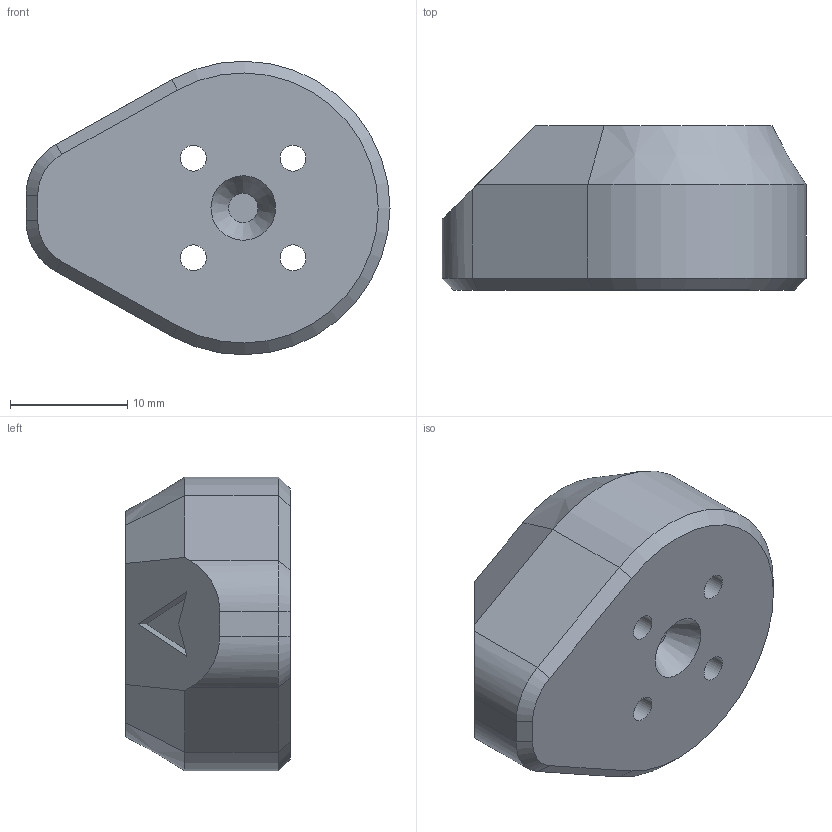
import cadquery as cq
import math

head_radius = 12.5
tail_reach = 18.5
tail_width = 8.0
tail_corner_radius = 5.0
thickness = 14.0
front_chamfer = 1.0
straight_depth = 9.0
taper_angle = 30.0

tail_edge_y = 6.0
overrun = 5.0

bolt_circle_radius = 6.0
bolt_count = 4
bolt_start_angle = 45.0
bolt_hole_diameter = 2.2
cone_mouth_diameter = 5.5
cone_floor_diameter = 2.5
cone_half_angle = 30.0
cone_depth = (cone_mouth_diameter - cone_floor_diameter) / 2 / math.tan(math.radians(cone_half_angle))

arrow_tip = 9.8
arrow_notch = 4.95
arrow_tails = 3.95
arrow_half_width = 2.75
arrow_depth = 1.0


def from_front(y):
    """Workplane parallel to the front face at depth y, facing +Y; local x is -X, local y is +Z."""
    return cq.Workplane(cq.Plane(origin=(0, y, 0), xDir=(-1, 0, 0), normal=(0, 1, 0)))


def teardrop(y, depth, taper=0.0):
    """Round head with two tangent sides running to a flat, corner-rounded tail."""
    half_width = tail_width / 2
    corner_distance = math.hypot(tail_reach, half_width)
    tangent_angle = math.atan2(half_width, tail_reach) + math.acos(head_radius / corner_distance)
    tangent_x = head_radius * math.cos(tangent_angle)
    tangent_z = head_radius * math.sin(tangent_angle)

    setback = tail_corner_radius * math.tan(tangent_angle / 2)
    arc_centre_x = tail_reach - tail_corner_radius
    arc_centre_z = half_width - setback
    side_x = arc_centre_x + tail_corner_radius * math.cos(tangent_angle)
    side_z = arc_centre_z + tail_corner_radius * math.sin(tangent_angle)
    middle_x = arc_centre_x + tail_corner_radius * math.cos(tangent_angle / 2)
    middle_z = arc_centre_z + tail_corner_radius * math.sin(tangent_angle / 2)

    return (
        from_front(y)
        .moveTo(tail_reach, -arc_centre_z)
        .lineTo(tail_reach, arc_centre_z)
        .threePointArc((middle_x, middle_z), (side_x, side_z))
        .lineTo(tangent_x, tangent_z)
        .threePointArc((-head_radius, 0), (tangent_x, -tangent_z))
        .lineTo(side_x, -side_z)
        .threePointArc((middle_x, -middle_z), (tail_reach, -arc_centre_z))
        .close()
        .extrude(depth, taper=taper)
    )


def body():
    straight = teardrop(0, straight_depth).faces("<Y").chamfer(front_chamfer)
    tapered = teardrop(straight_depth, thickness - straight_depth, taper_angle)
    return straight.union(tapered)


def tail_flat_cutter():
    """Triangular prism that removes the rear corner of the tail at 45 degrees."""
    outer_x = -tail_reach - overrun
    rear_y = thickness + overrun
    flat_run = rear_y - tail_edge_y
    return (
        cq.Workplane("XY")
        .moveTo(outer_x, tail_edge_y - overrun)
        .lineTo(outer_x, rear_y)
        .lineTo(-tail_reach + flat_run, rear_y)
        .close()
        .extrude(head_radius + overrun, both=True)
    )


def bolt_holes():
    return (
        from_front(0)
        .polarArray(bolt_circle_radius, bolt_start_angle, 360, bolt_count)
        .circle(bolt_hole_diameter / 2)
        .extrude(thickness)
    )


def centre_cone():
    return cq.Workplane(
        cq.Solid.makeCone(
            cone_mouth_diameter / 2, cone_floor_diameter / 2, cone_depth,
            pnt=cq.Vector(0, 0, 0), dir=cq.Vector(0, 1, 0),
        )
    )


def arrow_recess():
    """Arrowhead pointing up the 45 degree flat, sunk square to it."""
    flat = cq.Plane(origin=(-tail_reach, tail_edge_y, 0), xDir=(1, 1, 0), normal=(-1, 1, 0))
    return (
        cq.Workplane(flat)
        .moveTo(arrow_tip, 0)
        .lineTo(arrow_tails, arrow_half_width)
        .lineTo(arrow_notch, 0)
        .lineTo(arrow_tails, -arrow_half_width)
        .close()
        .extrude(-arrow_depth)
    )


result = (
    body()
    .cut(tail_flat_cutter())
    .cut(arrow_recess())
    .cut(bolt_holes())
    .cut(centre_cone())
)